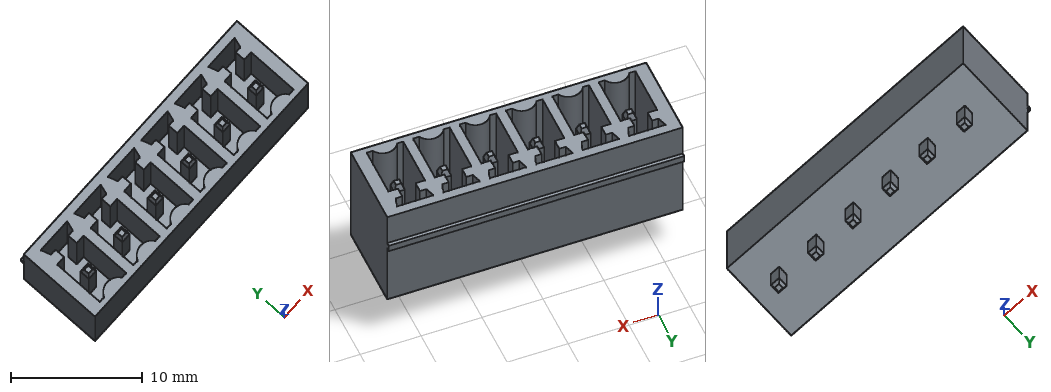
import cadquery as cq

HOUSING_LENGTH = 24.25
HOUSING_DEPTH = 7.25
HOUSING_HEIGHT = 9.2

POLE_COUNT = 6
POLE_PITCH = 3.81
PIN_Y = 3.0

POCKET_WIDTH = 3.0
POCKET_FRONT_Y = 0.5
POCKET_SHOULDER_Y = 4.83
NECK_WIDTH = 1.45
NECK_BACK_Y = 5.7
DOVETAIL_FRONT_WIDTH = 2.5
DOVETAIL_BACK_Y = 6.5
POCKET_FLOOR_Z = 1.2

KEY_WIDTH = 2.0
KEY_RISE = 0.6

PIN_SIZE = 0.85
PIN_TIP_SIZE = 0.45
PIN_TAPER_LENGTH = 0.6
PIN_BOTTOM_Z = -3.4
PIN_TOP_Z = 7.8

RIB_DEPTH = 0.3
RIB_HEIGHT = 0.6
RIB_BOTTOM_Z = 5.7

POLE_XS = [(i - (POLE_COUNT - 1) / 2) * POLE_PITCH for i in range(POLE_COUNT)]


def make_housing():
    """Plain block with the rib running along its back face."""
    block = cq.Workplane("XY").box(
        HOUSING_LENGTH, HOUSING_DEPTH, HOUSING_HEIGHT, centered=(True, False, False)
    )
    rib = (
        cq.Workplane("XY")
        .box(HOUSING_LENGTH, RIB_DEPTH, RIB_HEIGHT, centered=(True, False, False))
        .translate((0, HOUSING_DEPTH, RIB_BOTTOM_Z))
    )
    return block.union(rib)


def make_pocket(x):
    """Volume of one pocket: wide bay, narrow neck and dovetail slot at the back."""
    half_pocket = POCKET_WIDTH / 2
    half_neck = NECK_WIDTH / 2
    half_dovetail = DOVETAIL_FRONT_WIDTH / 2
    half_key = KEY_WIDTH / 2
    return (
        cq.Workplane("XY", origin=(x, 0, POCKET_FLOOR_Z))
        .moveTo(-half_pocket, POCKET_FRONT_Y)
        .lineTo(-half_key, POCKET_FRONT_Y)
        .threePointArc((0, POCKET_FRONT_Y + KEY_RISE), (half_key, POCKET_FRONT_Y))
        .lineTo(half_pocket, POCKET_FRONT_Y)
        .lineTo(half_pocket, POCKET_SHOULDER_Y)
        .lineTo(half_neck, POCKET_SHOULDER_Y)
        .lineTo(half_neck, NECK_BACK_Y)
        .lineTo(half_dovetail, NECK_BACK_Y)
        .lineTo(half_pocket, DOVETAIL_BACK_Y)
        .lineTo(-half_pocket, DOVETAIL_BACK_Y)
        .lineTo(-half_dovetail, NECK_BACK_Y)
        .lineTo(-half_neck, NECK_BACK_Y)
        .lineTo(-half_neck, POCKET_SHOULDER_Y)
        .lineTo(-half_pocket, POCKET_SHOULDER_Y)
        .close()
        .extrude(HOUSING_HEIGHT - POCKET_FLOOR_Z)
    )


def make_pin_tip(x, base_z, end_z):
    """Square taper from the full pin section at base_z to the tip at end_z."""
    return (
        cq.Workplane("XY", origin=(x, PIN_Y, base_z))
        .rect(PIN_SIZE, PIN_SIZE)
        .workplane(offset=end_z - base_z)
        .rect(PIN_TIP_SIZE, PIN_TIP_SIZE)
        .loft(ruled=True)
    )


def make_pin(x):
    """One contact pin with a tapered tip at each end."""
    shank_bottom_z = PIN_BOTTOM_Z + PIN_TAPER_LENGTH
    shank_top_z = PIN_TOP_Z - PIN_TAPER_LENGTH
    shank = (
        cq.Workplane("XY", origin=(x, PIN_Y, shank_bottom_z))
        .rect(PIN_SIZE, PIN_SIZE)
        .extrude(shank_top_z - shank_bottom_z)
    )
    bottom_tip = make_pin_tip(x, shank_bottom_z, PIN_BOTTOM_Z)
    top_tip = make_pin_tip(x, shank_top_z, PIN_TOP_Z)
    return shank.union(bottom_tip).union(top_tip)


result = make_housing()
for pole_x in POLE_XS:
    result = result.cut(make_pocket(pole_x)).union(make_pin(pole_x))